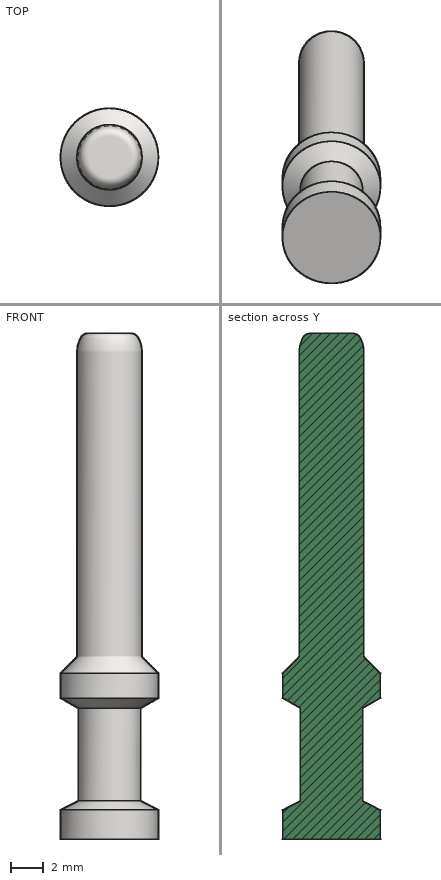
import cadquery as cq
import math

total_length = 31.0
flange_radius = 6.0 / 2
pin_radius = 4.0 / 2
shank_radius = 3.85 / 2

foot_rim_top = 1.8
foot_cone_top = 2.35
collar_cone_bottom = 8.03
collar_rim_bottom = 8.65
collar_rim_top = 10.17

shoulder_angle = math.radians(45)
shoulder_fillet = 0.15
shoulder_corner = collar_rim_top + (flange_radius - pin_radius) / math.tan(shoulder_angle)
fillet_setback = shoulder_fillet * math.tan(shoulder_angle / 2)
fillet_start = (
    pin_radius + fillet_setback * math.sin(shoulder_angle),
    shoulder_corner - fillet_setback * math.cos(shoulder_angle),
)
fillet_end = (pin_radius, shoulder_corner + fillet_setback)

tip_flat_radius = 1.3
tip_arc_radius = 1.67
tip_round_radius = 0.53

arc_center_x = pin_radius - tip_arc_radius
tip_angle = math.acos((tip_flat_radius - arc_center_x) / (tip_arc_radius - tip_round_radius))
tip_start = (
    total_length - tip_round_radius - (tip_arc_radius - tip_round_radius) * math.sin(tip_angle)
)
arc_meeting_point = (
    arc_center_x + tip_arc_radius * math.cos(tip_angle),
    tip_start + tip_arc_radius * math.sin(tip_angle),
)

profile = (
    cq.Workplane("XZ")
    .lineTo(flange_radius, 0)
    .lineTo(flange_radius, foot_rim_top)
    .lineTo(shank_radius, foot_cone_top)
    .lineTo(shank_radius, collar_cone_bottom)
    .lineTo(flange_radius, collar_rim_bottom)
    .lineTo(flange_radius, collar_rim_top)
    .lineTo(*fillet_start)
    .tangentArcPoint(fillet_end, relative=False)
    .lineTo(pin_radius, tip_start)
    .tangentArcPoint(arc_meeting_point, relative=False)
    .tangentArcPoint((tip_flat_radius, total_length), relative=False)
    .lineTo(0, total_length)
    .close()
)

result = profile.revolve(360, (0, 0, 0), (0, 1, 0))